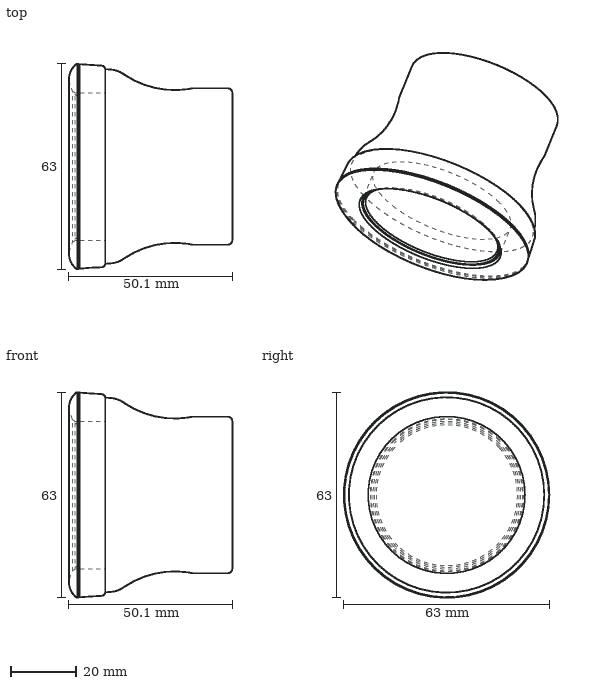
import cadquery as cq
import math

total_length = 50.05

ring_radius = 31.5
ring_back = 11.15
ring_bore_radius = 22.6
lip_outer_radius = 24.2
lip_inner_radius = 23.2
lip_depth = 1.0
front_peak_radius = 26.75
front_edge = (1.7, 30.8)
crown_x = 2.6
crown_mid = (2.1, 31.2)
groove_start = 2.95
groove_width = 0.3
groove_depth = 0.2
band_start_radius = 31.35
band_end = (9.8, 30.9)
ring_back_radius = 29.9
back_round_mid = (10.7, 30.6)

rim_depth = 1.8
rim_inner_radius = 22.1
dish_wall_radius = 21.6
dish_wall_depth = 2.4
dish_floor_radius = 20.95
dish_depth = 2.5
shoulder_radius = 29.85
shoulder_end = (13.35, 29.65)
shoulder_mid = (15.35, 29.1)
waist_start = (17.05, 28.1)
waist_x = 32.4
waist_radius = 23.4
grip_radius = 48.0 / 2
blend_start = 36.5
blend_length = 1.5
end_round = 1.5


def round_point(x, radius, size):
    """Middle of a quarter round whose outer corner is (x, radius)."""
    inset = size * (1 - math.sqrt(0.5))
    return x - inset, radius - inset


def revolve_about_x(profile):
    return profile.close().revolve(360, (0, 0, 0), (1, 0, 0))


def make_ring():
    groove_end = groove_start + groove_width
    bulge_rise = front_edge[1] - front_peak_radius
    bulge_radius = (bulge_rise**2 + front_edge[0]**2) / (2 * front_edge[0])
    lip_drop = front_peak_radius - lip_outer_radius
    lip_x = bulge_radius - math.sqrt(bulge_radius**2 - lip_drop**2)
    groove_floor = band_start_radius - groove_depth
    profile = (
        cq.Workplane("XY")
        .moveTo(ring_back, ring_bore_radius)
        .lineTo(rim_depth, ring_bore_radius)
        .lineTo(lip_depth, lip_inner_radius)
        .lineTo(lip_x, lip_outer_radius)
        .threePointArc((0, front_peak_radius), front_edge)
        .threePointArc(crown_mid, (crown_x, ring_radius))
        .lineTo(groove_start, band_start_radius)
        .lineTo(groove_start, groove_floor)
        .lineTo(groove_end, groove_floor)
        .lineTo(groove_end, band_start_radius)
        .lineTo(*band_end)
        .threePointArc(back_round_mid, (ring_back, ring_back_radius))
    )
    return revolve_about_x(profile)


def make_knob():
    blend_end = blend_start + blend_length
    run = waist_x - waist_start[0]
    rise = waist_start[1] - waist_radius
    waist_arc_radius = (run**2 + rise**2) / (2 * rise)
    blend_run = blend_start - waist_x
    blend_height = math.sqrt(waist_arc_radius**2 - blend_run**2)
    blend_start_radius = waist_radius + waist_arc_radius - blend_height
    blend_direction = (blend_height, blend_run)
    profile = (
        cq.Workplane("XY")
        .moveTo(dish_depth, 0)
        .lineTo(dish_depth, dish_floor_radius)
        .lineTo(dish_wall_depth, dish_wall_radius)
        .lineTo(rim_depth, rim_inner_radius)
        .lineTo(rim_depth, ring_bore_radius)
        .lineTo(ring_back, ring_bore_radius)
        .lineTo(ring_back, shoulder_radius)
        .lineTo(*shoulder_end)
        .threePointArc(shoulder_mid, waist_start)
        .threePointArc((waist_x, waist_radius), (blend_start, blend_start_radius))
        .spline([(blend_end, grip_radius)], tangents=[blend_direction, (1, 0)], includeCurrent=True)
        .lineTo(total_length - end_round, grip_radius)
        .threePointArc(
            round_point(total_length, grip_radius, end_round),
            (total_length, grip_radius - end_round),
        )
        .lineTo(total_length, 0)
    )
    return revolve_about_x(profile)


ring = make_ring()
knob = make_knob()
result = cq.Compound.makeCompound([ring.val(), knob.val()])